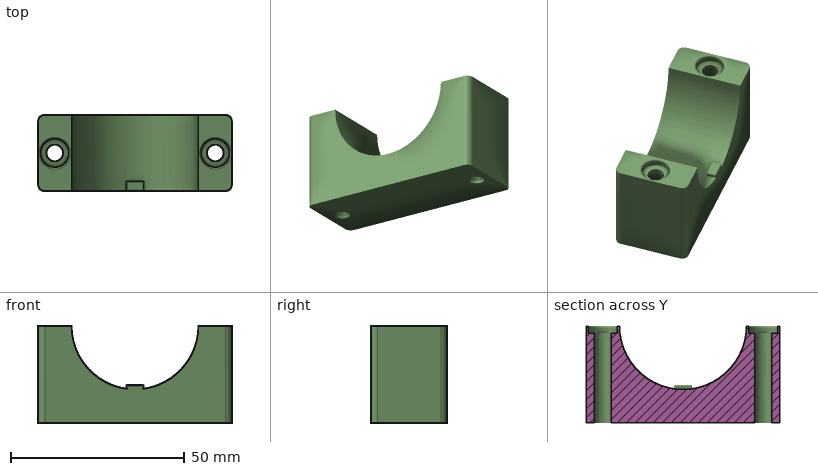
import cadquery as cq

length = 56.0
width = 22.0
height = 28.0
corner_radius = 1.9

saddle_radius = 18.25

screw_spacing = 46.3
hole_diameter = 4.75
counterbore_diameter = 8.2
counterbore_depth = 2.0
rim_fillet = 0.5

key_length = 5.15
key_width = 2.85
key_top = 11.0
key_fillet = 0.35
key_root = 2.8


def make_block():
    block = cq.Workplane("XY").box(length, width, height, centered=(True, True, False))
    return block.edges("|Z").fillet(corner_radius)


def add_screw_holes(body):
    body = (
        body.faces(">Z")
        .workplane(origin=(0, 0, height))
        .pushPoints([(-screw_spacing / 2, 0), (screw_spacing / 2, 0)])
        .cboreHole(hole_diameter, counterbore_diameter, counterbore_depth)
    )
    largest_circles = cq.selectors.RadiusNthSelector(-1)
    return body.faces(">Z").edges("%CIRCLE").edges(largest_circles).fillet(rim_fillet)


def make_saddle():
    return (
        cq.Workplane("XZ", origin=(0, width / 2, height))
        .circle(saddle_radius)
        .extrude(width)
    )


def make_key():
    key_bottom = key_top - key_root
    key = cq.Workplane("XY", origin=(0, -width / 2, key_bottom)).box(
        key_length, key_width, key_root, centered=(True, False, False)
    )
    return key.edges("|Z or >Z").fillet(key_fillet)


result = add_screw_holes(make_block()).cut(make_saddle()).union(make_key())